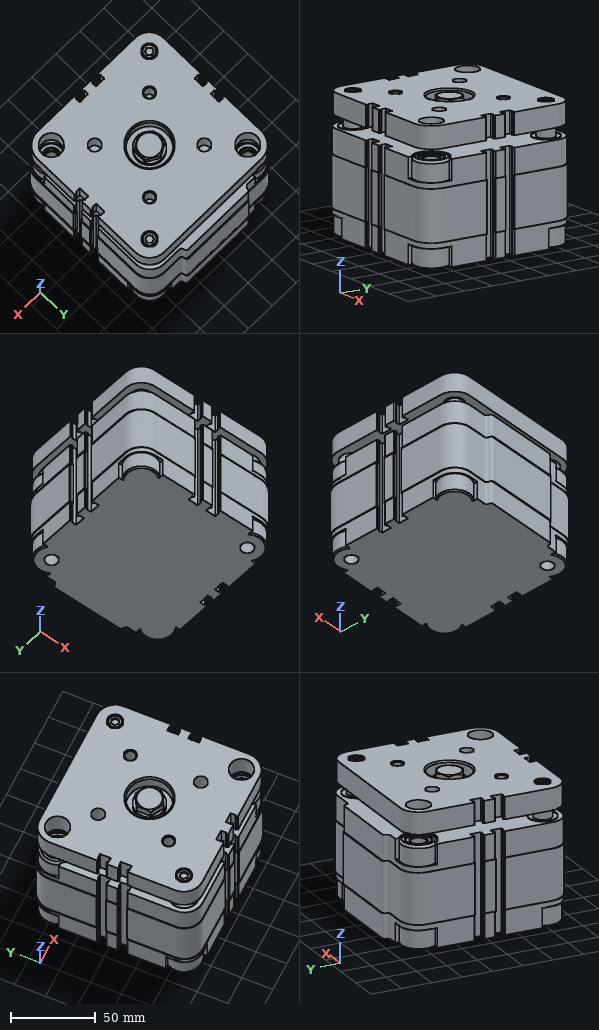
import cadquery as cq
import math

lower_cap_top = 16.4
upper_cap_bottom = 49.6
housing_height = 66.3
plate_bottom = 73.7
plate_top = 88.0

barrel_outline = (107.0, 107.0, 12.3)
cap_outline = (106.1, 106.6, 12.1)
plate_outline = (105.7, 105.7, 12.2)

slot_offset = 6.8
slot_width = 6.9
slot_floor = 48.0
slot_lip = 51.2
barrel_mouth = 5.1
cap_mouth = 5.4
plate_mouth = 5.3
mouth_chamfer = 0.7

ledge_base_width = 54.4
ledge_top_width = 52.0
barrel_ledge_end = 57.5
cap_ledge_end = 56.9
ledge_round = 1.5

corner_pitch = 81.9
notch_edge = 34.7
bottom_notch_height = 12.8
top_notch_height = 13.1
boss_diameter = 23.0
boss_top_diameter = 20.0
boss_bottom_chamfer = 0.9

mount_diameter = 8.5
mount_recess_diameter = 15.4
mount_recess_rim = 16.5
mount_recess_depth = 0.9
mount_bore_diameter = 9.8
mount_bore_depth = 5.3
mount_countersink = 11.2
mount_countersink_depth = 0.4

guide_diameter = 12.0
guide_collar_diameter = 13.0
guide_collar_height = 0.4
guide_seat_diameter = 18.0
guide_seat_depth = 0.3
screw_bore = 9.8
screw_bore_depth = 1.3
screw_head = 9.0
screw_head_chamfer = 0.5
screw_head_drop = 0.2
socket_across_flats = 4.5
socket_depth = 1.1

rod_diameter = 20.0
rod_flat_distance = 17.1
rod_flat_bottom = 66.8
rod_end = 82.7
nut_across_flats = 16.0
nut_top_diameter = 15.4
nut_top = 87.8

center_bore = 28.0
center_bore_chamfer = 1.0
center_bore_floor = 79.7
access_hole = 15.0
plate_hole_pitch = 45.7
dowel_hole = 8.3
thread_hole = 6.7
thread_rim = 8.0

CUT = 1.1

guide_corners = [(-corner_pitch / 2, -corner_pitch / 2), (corner_pitch / 2, corner_pitch / 2)]
mount_corners = [(-corner_pitch / 2, corner_pitch / 2), (corner_pitch / 2, -corner_pitch / 2)]


def cylinder(diameter, bottom, top, center=(0, 0)):
    return cq.Workplane("XY", origin=(*center, bottom)).circle(diameter / 2).extrude(top - bottom)


def cone(bottom_diameter, top_diameter, bottom, top, center=(0, 0)):
    solid = cq.Solid.makeCone(bottom_diameter / 2, top_diameter / 2, top - bottom, cq.Vector(*center, bottom))
    return cq.Workplane(obj=solid)


def hexagon(across_flats, bottom, top, center=(0, 0), turn=0):
    across_corners = across_flats / math.cos(math.pi / 6)
    prism = cq.Workplane("XY").polygon(6, across_corners).extrude(top - bottom)
    return prism.rotate((0, 0, 0), (0, 0, 1), turn).translate((*center, bottom))


def rounded_block(outline, bottom, top):
    width, depth, radius = outline
    block = cq.Workplane("XY", origin=(0, 0, bottom)).rect(width, depth).extrude(top - bottom)
    return block.edges("|Z").fillet(radius)


def t_slot(center_x, face, mouth, bottom, top):
    """Cutter for one T-slot open towards -Y, whose mouth is chamfered at the side face."""
    half_mouth = mouth / 2
    half_width = slot_width / 2
    half_rim = half_mouth + mouth_chamfer
    half_section = [
        (half_width, -slot_floor),
        (half_width, -slot_lip),
        (half_mouth, -slot_lip),
        (half_mouth, mouth_chamfer - face),
        (half_rim, -face),
        (half_rim, -face - CUT),
    ]
    mirrored = [(-x, y) for x, y in reversed(half_section)]
    section = [(center_x + x, y) for x, y in half_section + mirrored]
    return cq.Workplane("XY", origin=(0, 0, bottom)).polyline(section).close().extrude(top - bottom)


def slotted_block(outline, mouth, bottom, top):
    width, depth, _ = outline
    block = rounded_block(outline, bottom, top)
    for turn, face in ((-90, width / 2), (0, depth / 2), (90, width / 2)):
        for center_x in (-slot_offset, slot_offset):
            slot = t_slot(center_x, face, mouth, bottom, top)
            block = block.cut(slot.rotate((0, 0, 0), (0, 0, 1), turn))
    return block


def ledge(face, end, bottom, top):
    section = [
        (-ledge_base_width / 2, face),
        (-ledge_top_width / 2, end),
        (ledge_top_width / 2, end),
        (ledge_base_width / 2, face),
    ]
    block = cq.Workplane("XY", origin=(0, 0, bottom)).polyline(section).close().extrude(top - bottom)
    return block.edges("|Z and >Y").fillet(ledge_round)


def housing_section(outline, mouth, ledge_end, bottom, top):
    """One length of the housing; the ledge root is rounded into the +Y face."""
    face = outline[1] / 2
    section = slotted_block(outline, mouth, bottom, top).union(ledge(face, ledge_end, bottom, top))
    root_reach = ledge_base_width / 2 + CUT
    roots = cq.selectors.BoxSelector(
        (-root_reach, face - CUT / 2, bottom - CUT),
        (root_reach, face + CUT / 2, top + CUT),
    )
    return section.edges("|Z").edges(roots).fillet(ledge_round)


def corner_notch(center, bottom, top):
    """Cutter for everything outside the notch walls at one corner."""
    size = barrel_outline[0] - notch_edge
    middle = notch_edge + size / 2
    x = math.copysign(middle, center[0])
    y = math.copysign(middle, center[1])
    return cq.Workplane("XY", origin=(x, y, bottom)).rect(size, size).extrude(top - bottom)


def bottom_boss_cutter(center):
    boss = cylinder(boss_diameter, 0, bottom_notch_height, center).faces("<Z").chamfer(boss_bottom_chamfer)
    return corner_notch(center, 0, bottom_notch_height).cut(boss)


def top_boss_cutter(center):
    """Notch around an upper boss, with the chamfer of the boss sunk all round into the cap."""
    notch_bottom = housing_height - top_notch_height
    chamfer_bottom = housing_height - (boss_diameter - boss_top_diameter) / 2
    notch = corner_notch(center, notch_bottom, housing_height)
    notch = notch.cut(cylinder(boss_diameter, notch_bottom, housing_height, center))
    groove = cylinder(boss_diameter, chamfer_bottom, housing_height, center)
    groove = groove.cut(cone(boss_diameter, boss_top_diameter, chamfer_bottom, housing_height, center))
    return notch.union(groove)


def mount_hole(center):
    """Through hole, bored and countersunk from a shallow recess with a chamfered rim."""
    rim_bottom = housing_height - (mount_recess_rim - mount_recess_diameter) / 2
    recess_bottom = housing_height - mount_recess_depth
    sink_bottom = recess_bottom - mount_countersink_depth
    hole = cylinder(mount_diameter, 0, housing_height, center)
    hole = hole.union(cylinder(mount_bore_diameter, housing_height - mount_bore_depth, housing_height, center))
    hole = hole.union(cone(mount_bore_diameter, mount_countersink, sink_bottom, recess_bottom, center))
    hole = hole.union(cylinder(mount_recess_diameter, recess_bottom, housing_height, center))
    return hole.union(cone(mount_recess_diameter, mount_recess_rim, rim_bottom, housing_height, center))


def make_housing():
    heights = (lower_cap_top, upper_cap_bottom)
    housing = housing_section(barrel_outline, barrel_mouth, barrel_ledge_end, *heights)
    for bottom, top in ((0, lower_cap_top), (upper_cap_bottom, housing_height)):
        housing = housing.union(housing_section(cap_outline, cap_mouth, cap_ledge_end, bottom, top))
    for corner in guide_corners + mount_corners:
        housing = housing.cut(bottom_boss_cutter(corner))
    for corner in mount_corners:
        housing = housing.cut(top_boss_cutter(corner)).cut(mount_hole(corner))
    for corner in guide_corners:
        seat = cylinder(guide_seat_diameter, housing_height - guide_seat_depth, housing_height, corner)
        housing = housing.cut(seat)
        housing = housing.cut(cylinder(guide_diameter, upper_cap_bottom, housing_height, corner))
    return housing.cut(cylinder(rod_diameter, upper_cap_bottom, housing_height))


def drill_plate(plate):
    bore_rim = center_bore + 2 * center_bore_chamfer
    plate = plate.cut(cylinder(center_bore, center_bore_floor, plate_top))
    plate = plate.cut(cone(center_bore, bore_rim, plate_top - center_bore_chamfer, plate_top))
    for corner in mount_corners:
        plate = plate.cut(cylinder(access_hole, plate_bottom, plate_top, corner))
    half = plate_hole_pitch / 2
    for center in ((-half, half), (half, -half)):
        plate = plate.cut(cylinder(dowel_hole, plate_bottom, plate_top, center))
    thread_chamfer = (thread_rim - thread_hole) / 2
    for center in ((half, half), (-half, -half)):
        plate = plate.cut(cylinder(thread_hole, plate_bottom, plate_top, center))
        plate = plate.cut(cone(thread_hole, thread_rim, plate_top - thread_chamfer, plate_top, center))
    return plate


def piston_rod():
    rod = cylinder(rod_diameter, upper_cap_bottom, rod_end)
    flats_height = plate_bottom - rod_flat_bottom
    flats = cq.Workplane("XY", origin=(0, 0, rod_flat_bottom)).rect(2 * rod_diameter, rod_flat_distance)
    rod = rod.cut(cylinder(rod_diameter, rod_flat_bottom, plate_bottom).cut(flats.extrude(flats_height)))
    nut = hexagon(nut_across_flats, rod_end, nut_top, turn=30)
    nut_height = nut_top - rod_end
    cone_base = nut_top_diameter + 2 * nut_height / math.tan(math.pi / 6)
    return rod.union(nut.intersect(cone(cone_base, nut_top_diameter, rod_end, nut_top)))


def guide_rod(center):
    rod = cylinder(guide_diameter, upper_cap_bottom, plate_bottom, center)
    return rod.union(cylinder(guide_collar_diameter, plate_bottom - guide_collar_height, plate_bottom, center))


def add_screw(plate, center):
    """Sinks a chamfered socket-head screw into the plate, the socket corners along the other diagonal."""
    bore_floor = plate_top - screw_bore_depth
    head_top = plate_top - screw_head_drop
    head = cylinder(screw_head, bore_floor, head_top, center).faces(">Z").chamfer(screw_head_chamfer)
    plate = plate.cut(cylinder(screw_bore, bore_floor, plate_top, center)).union(head)
    return plate.cut(hexagon(socket_across_flats, head_top - socket_depth, head_top, center, turn=-45))


def make_carriage():
    carriage = drill_plate(slotted_block(plate_outline, plate_mouth, plate_bottom, plate_top))
    carriage = carriage.union(piston_rod())
    for corner in guide_corners:
        carriage = add_screw(carriage, corner).union(guide_rod(corner))
    return carriage


housing = make_housing()
carriage = make_carriage()

result = cq.Compound.makeCompound([housing.val(), carriage.val()])